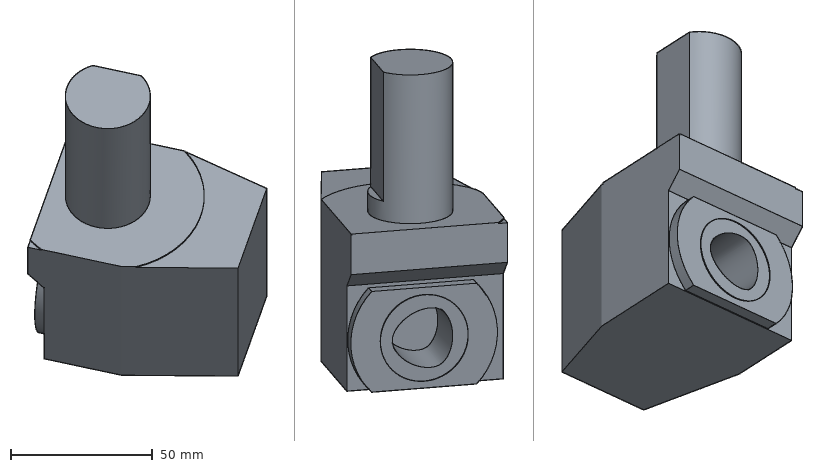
import cadquery as cq
import math


BLOCK_BACK_X = 53.0
SEAT_X = -15.0
LIP_OVERHANG = 6.0
LIP_HEIGHT = 15.0
BLOCK_TOP_Z = 59.6
SIDE_LEFT_Y = 27.0
SIDE_RIGHT_Y = -30.0
BACK_LEFT_Y = 18.5
BACK_RIGHT_Y = -19.4
TAPER_ANGLE = 15.0

PAD_RADIUS = 34.0
PAD_TOP_Z = 60.0

SHANK_DIAMETER = 29.99
SHANK_LENGTH = 55.0
SHANK_FLAT_Y = 12.1
SHANK_FLAT_START = 7.2

UNIT_AXIS_Z = 19.0
FLANGE_DIAMETER = 53.4
FLANGE_HEIGHT = 37.3
FLANGE_THICKNESS = 4.4
FACE_DIAMETER = 32.0
FACE_RAISE = 0.35
SLEEVE_FLOOR = 4.0

BORE_RADIUS = 11.0
BORE_LOBE = 0.7
BORE_DEPTH = 19.0
BORE_TAPER = 1 / 40
LOBES = 3

lip_x = SEAT_X - LIP_OVERHANG
lip_bottom_z = PAD_TOP_Z - LIP_HEIGHT
flange_x = SEAT_X - FLANGE_THICKNESS
face_x = flange_x - FACE_RAISE
sleeve_end_x = face_x + BORE_DEPTH + SLEEVE_FLOOR


def unit_plane(x):
    """Plane across the clamping unit's axis, with local axes along Y and Z."""
    return cq.Workplane("YZ", origin=(x, 0, UNIT_AXIS_Z))


def block_prism(height):
    """Plan outline of the block with tapered rear sides, from Z = 0 up."""
    slope = math.tan(math.radians(TAPER_ANGLE))
    left_taper_x = BLOCK_BACK_X - (SIDE_LEFT_Y - BACK_LEFT_Y) / slope
    right_taper_x = BLOCK_BACK_X - (BACK_RIGHT_Y - SIDE_RIGHT_Y) / slope
    outline = [
        (lip_x, SIDE_RIGHT_Y),
        (right_taper_x, SIDE_RIGHT_Y),
        (BLOCK_BACK_X, BACK_RIGHT_Y),
        (BLOCK_BACK_X, BACK_LEFT_Y),
        (left_taper_x, SIDE_LEFT_Y),
        (lip_x, SIDE_LEFT_Y),
    ]
    return cq.Workplane("XY").polyline(outline).close().extrude(height)


def lip_undercut():
    """Space below the lip, in front of the seat face, with a 45 degree top."""
    profile = [
        (lip_x, 0),
        (SEAT_X, 0),
        (SEAT_X, lip_bottom_z - LIP_OVERHANG),
        (lip_x, lip_bottom_z),
    ]
    width = SIDE_LEFT_Y - SIDE_RIGHT_Y
    return (
        cq.Workplane("XZ", origin=(0, SIDE_LEFT_Y, 0))
        .polyline(profile)
        .close()
        .extrude(width)
    )


def make_shank():
    """Round shank with a flat on its +Y side that stops short of the pad."""
    base = cq.Workplane("XY", origin=(0, 0, PAD_TOP_Z))
    shank = base.circle(SHANK_DIAMETER / 2).extrude(SHANK_LENGTH)
    flat_cut = (
        base.workplane(offset=SHANK_FLAT_START)
        .center(0, SHANK_FLAT_Y + SHANK_DIAMETER / 2)
        .rect(SHANK_DIAMETER, SHANK_DIAMETER)
        .extrude(SHANK_LENGTH)
    )
    return shank.cut(flat_cut)


def make_sleeve():
    """Cylinder of the clamping unit, from its front face into the block."""
    return unit_plane(face_x).circle(FACE_DIAMETER / 2).extrude(sleeve_end_x - face_x)


def make_holder():
    """Block, raised pad and shank, with a round pocket for the sleeve."""
    pad = cq.Workplane("XY").circle(PAD_RADIUS).extrude(PAD_TOP_Z).intersect(block_prism(PAD_TOP_Z))
    body = block_prism(BLOCK_TOP_Z).union(pad).union(make_shank())
    return body.cut(lip_undercut()).cut(make_sleeve())


def bore_wire(x, mean_radius):
    """Three-lobed outline of constant width, with one lobe toward +Y.

    Its support function is mean_radius + BORE_LOBE * cos(3 * angle), and it
    is made of equal curves that run from lobe to lobe.
    """
    span = 2 * math.pi / LOBES

    def point(angle):
        reach = mean_radius + BORE_LOBE * math.cos(LOBES * angle)
        shift = -LOBES * BORE_LOBE * math.sin(LOBES * angle)
        return (
            reach * math.cos(angle) - shift * math.sin(angle),
            reach * math.sin(angle) + shift * math.cos(angle),
        )

    outline = unit_plane(x)
    for lobe in range(LOBES):
        start = lobe * span
        outline = outline.parametricCurve(
            lambda t, start=start: (*point(start + t * span), 0), makeWire=False
        )
    return cq.Wire.assembleEdges(outline.ctx.pendingEdges)


def make_bore():
    """Blind bore that narrows steadily from the front face to its floor."""
    floor_radius = BORE_RADIUS - BORE_DEPTH * BORE_TAPER
    mouth = bore_wire(face_x, BORE_RADIUS)
    floor = bore_wire(face_x + BORE_DEPTH, floor_radius)
    return cq.Workplane(cq.Solid.makeLoft([mouth, floor], True))


def make_clamping_unit():
    """Flange with upper and lower flats, raised ring face, sleeve and bore."""
    disc = unit_plane(flange_x).circle(FLANGE_DIAMETER / 2).extrude(FLANGE_THICKNESS)
    flats = unit_plane(flange_x).rect(FLANGE_DIAMETER, FLANGE_HEIGHT).extrude(FLANGE_THICKNESS)
    return disc.intersect(flats).union(make_sleeve()).cut(make_bore())


holder = make_holder()
clamping_unit = make_clamping_unit()

result = cq.Compound.makeCompound([holder.solids().val(), clamping_unit.solids().val()])